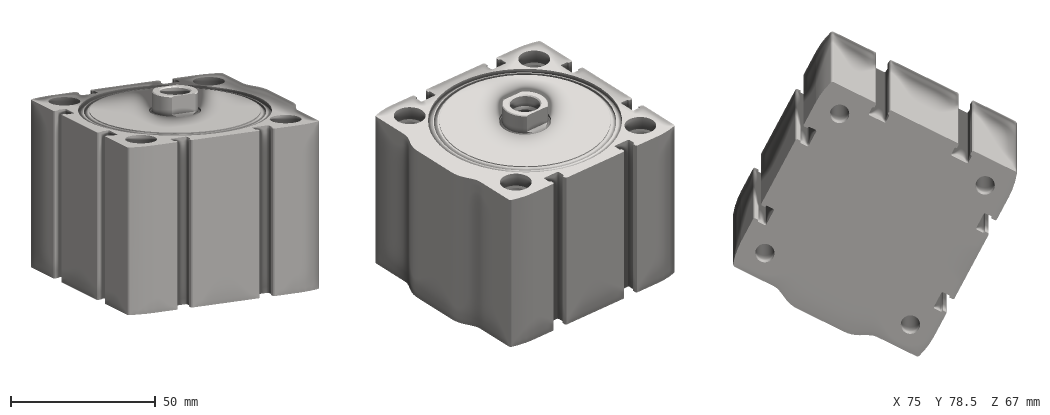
import cadquery as cq
import math

width = 75.0
half_width = width / 2
overall_depth = 78.5
back_y = overall_depth - half_width
height = 60.0
bolt_offset = 28.25
flank_radius = 28.25
corner_fillet = 1.0

bump_top_half = 11.85
bump_base_half = 18.7
bump_top_fillet = 11.8
bump_base_fillet = 7.1

slot_offset = 16.0
slot_mouth_width = 5.2
slot_inner_width = 6.6
slot_depth = 4.95
slot_mouth_depth = 1.7
slot_corner_chamfer = 0.3
slot_mouth_chamfer = 0.4

bolt_hole_diameter = 6.7
bolt_counterbore_diameter = 11.0
bolt_counterbore_depth = 4.9
bolt_countersink_diameter = 7.85
bolt_countersink_depth = 0.8

bore_diameter = 67.0
bore_radius = bore_diameter / 2
rim_cone_top_radius = 31.9
rim_cone_top_depth = 0.5
rim_cone_base_depth = 1.6
cap_rim_diameter = 63.0
cap_rim_radius = cap_rim_diameter / 2
cap_cone_base_depth = 1.4
cap_cone_top_radius = 30.3
cap_step_depth = 0.4
cap_face_radius = 29.6

rod_top_z = 67.0
shaft_diameter = 18.1
neck_diameter = 16.0
shoulder_diameter = 17.4
shaft_depth = 39.25
shoulder_depth = 0.15
flats_width = 13.0
flats_base_height = 0.55
runout_angle = 38.0
rod_top_chamfer = 0.3
rod_counterbore_diameter = 10.5
rod_counterbore_depth = 4.4
rod_mouth_chamfer = 0.4
thread_bore_diameter = 8.4
thread_cone_height = 0.8
thread_bore_depth = 19.6
drill_tip_angle = 118.0


def drill_tip_height(diameter):
    return diameter / 2 / math.tan(math.radians(drill_tip_angle / 2))


def revolve_profile(points):
    """Turn a closed (radius, z) outline around the Z axis."""
    return cq.Workplane("XZ").polyline(points).close().revolve(360, (0, 0, 0), (0, 1, 0))


def round_vertical_edges(body, places, radius):
    """Fillet the full-height edges that stand at the given (x, y) places."""
    edges = [
        body.edges(cq.NearestToPointSelector((x, y, height / 2))).val()
        for x, y in places
    ]
    return body.newObject(edges).fillet(radius)


def make_block():
    flank_length = half_width - bolt_offset
    flank_angle = math.asin(flank_length / flank_radius)

    def flank_x(angle):
        return half_width - flank_radius * (1 - math.cos(angle))

    corner_x = flank_x(flank_angle)
    middle_x = flank_x(flank_angle / 2)
    middle_y = bolt_offset + flank_radius * math.sin(flank_angle / 2)
    block = (
        cq.Workplane("XY")
        .moveTo(-corner_x, -half_width)
        .lineTo(corner_x, -half_width)
        .threePointArc((middle_x, -middle_y), (half_width, -bolt_offset))
        .lineTo(half_width, bolt_offset)
        .threePointArc((middle_x, middle_y), (corner_x, half_width))
        .lineTo(-corner_x, half_width)
        .threePointArc((-middle_x, middle_y), (-half_width, bolt_offset))
        .lineTo(-half_width, -bolt_offset)
        .threePointArc((-middle_x, -middle_y), (-corner_x, -half_width))
        .close()
        .extrude(height)
    )
    corners = [(x, y) for x in (-corner_x, corner_x) for y in (-half_width, half_width)]
    block = round_vertical_edges(block, corners, corner_fillet)
    bump = (
        cq.Workplane("XY")
        .polyline([
            (-bump_base_half, half_width),
            (-bump_top_half, back_y),
            (bump_top_half, back_y),
            (bump_base_half, half_width),
            (bump_base_half, 0),
            (-bump_base_half, 0),
        ])
        .close()
        .extrude(height)
    )
    block = block.union(bump)
    bump_top = [(-bump_top_half, back_y), (bump_top_half, back_y)]
    bump_base = [(-bump_base_half, half_width), (bump_base_half, half_width)]
    block = round_vertical_edges(block, bump_top, bump_top_fillet)
    return round_vertical_edges(block, bump_base, bump_base_fillet)


def make_slots():
    """T-shaped sensor slots, two on the -Y face and two on each side face."""
    inner_length = slot_depth - slot_mouth_depth
    mouth_half = slot_mouth_width / 2
    flared_half = mouth_half + slot_mouth_chamfer
    mouth = (
        cq.Workplane("XY")
        .polyline([
            (-flared_half, 0),
            (flared_half, 0),
            (mouth_half, slot_mouth_chamfer),
            (mouth_half, slot_depth),
            (-mouth_half, slot_depth),
            (-mouth_half, slot_mouth_chamfer),
        ])
        .close()
        .extrude(height)
    )
    inner = (
        cq.Workplane("XY")
        .box(slot_inner_width, inner_length, height, centered=(True, False, False))
        .edges("|Z")
        .chamfer(slot_corner_chamfer)
        .translate((0, slot_mouth_depth, 0))
    )
    slot = mouth.union(inner).translate((0, -half_width, 0))
    slots = []
    for face_angle in (-90, 0, 90):
        for offset in (-slot_offset, slot_offset):
            slots.append(slot.translate((offset, 0, 0)).rotate((0, 0, 0), (0, 0, 1), face_angle))
    return slots


def make_bolt_hole():
    """Through hole with a counterbore and a countersink in the counterbore floor."""
    hole_radius = bolt_hole_diameter / 2
    countersink_radius = bolt_countersink_diameter / 2
    counterbore_radius = bolt_counterbore_diameter / 2
    floor_z = height - bolt_counterbore_depth
    return revolve_profile([
        (0, 0),
        (hole_radius, 0),
        (hole_radius, floor_z - bolt_countersink_depth),
        (countersink_radius, floor_z),
        (counterbore_radius, floor_z),
        (counterbore_radius, height),
        (0, height),
    ])


def make_rim_groove():
    """Sloped groove between the bore edge and the end cap, with the step around the cap face."""
    return revolve_profile([
        (bore_radius, height),
        (bore_radius, height - rim_cone_base_depth),
        (rim_cone_top_radius, height - rim_cone_top_depth),
        (cap_rim_radius, height - rim_cone_top_depth),
        (cap_rim_radius, height - cap_cone_base_depth),
        (cap_cone_top_radius, height - cap_step_depth),
        (cap_face_radius, height - cap_step_depth),
        (cap_face_radius, height),
    ])


def make_housing():
    housing = make_block()
    for slot in make_slots():
        housing = housing.cut(slot)
    bolt_hole = make_bolt_hole()
    for x in (-bolt_offset, bolt_offset):
        for y in (-bolt_offset, bolt_offset):
            housing = housing.cut(bolt_hole.translate((x, y, 0)))
    rod_hole = (
        cq.Workplane("XY", origin=(0, 0, height - shaft_depth))
        .circle(shaft_diameter / 2)
        .extrude(shaft_depth)
    )
    return housing.cut(make_rim_groove()).cut(rod_hole)


def make_rod_bore():
    """Drilled bore with a conical step up to a chamfered counterbore."""
    thread_bore_radius = thread_bore_diameter / 2
    counterbore_radius = rod_counterbore_diameter / 2
    bore_end_z = rod_top_z - thread_bore_depth
    counterbore_z = rod_top_z - rod_counterbore_depth
    return revolve_profile([
        (0, bore_end_z - drill_tip_height(thread_bore_diameter)),
        (thread_bore_radius, bore_end_z),
        (thread_bore_radius, counterbore_z - thread_cone_height),
        (counterbore_radius, counterbore_z),
        (counterbore_radius, rod_top_z - rod_mouth_chamfer),
        (counterbore_radius + rod_mouth_chamfer, rod_top_z),
        (0, rod_top_z),
    ])


def make_flat_cut():
    """Cutter for the flat on the +X side, with a sloped run-out that ends at the neck surface."""
    flat_x = flats_width / 2
    neck_radius = neck_diameter / 2
    flats_base_z = height + flats_base_height
    runout_drop = (neck_radius - flat_x) * math.tan(math.radians(runout_angle))
    return (
        cq.Workplane("XZ")
        .polyline([
            (flat_x, rod_top_z),
            (flat_x, flats_base_z),
            (neck_radius, flats_base_z - runout_drop),
            (neck_radius, rod_top_z),
        ])
        .close()
        .extrude(neck_radius, both=True)
    )


def make_rod():
    shaft_radius = shaft_diameter / 2
    shoulder_radius = shoulder_diameter / 2
    neck_radius = neck_diameter / 2
    neck_z = height - shoulder_depth
    shoulder_z = neck_z - (shoulder_radius - neck_radius)
    rod = revolve_profile([
        (0, height - shaft_depth),
        (shaft_radius, height - shaft_depth),
        (shaft_radius, shoulder_z),
        (shoulder_radius, shoulder_z),
        (neck_radius, neck_z),
        (neck_radius, rod_top_z - rod_top_chamfer),
        (neck_radius - rod_top_chamfer, rod_top_z),
        (0, rod_top_z),
    ])
    flat_cut = make_flat_cut()
    rod = rod.cut(flat_cut).cut(flat_cut.mirror("YZ"))
    return rod.cut(make_rod_bore())


housing = make_housing()
rod = make_rod()
result = cq.Compound.makeCompound([housing.val(), rod.val()])